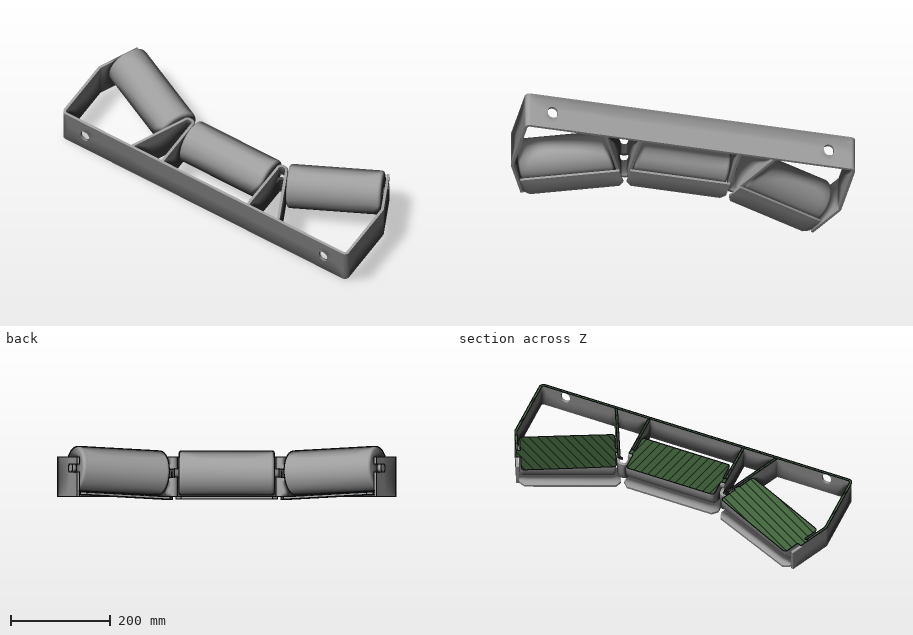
import cadquery as cq
import math

FRAME_LENGTH = 680.0
FRAME_HEIGHT = 80.0
SHEET = 5.6
BEND_RADIUS = 10.0
MOUNT_SLOT_SPACING = 568.5
MOUNT_SLOT_WIDTH = 20.0
MOUNT_SLOT_HEIGHT = 26.5

ROLLER_DIAMETER = 89.0
ROLLER_LENGTH = 192.0
ROLLER_EDGE_RADIUS = 6.0
SHAFT_DIAMETER = 20.0
SHAFT_FLATS = 16.0
SHAFT_ROUND_LENGTH = 197.0
ARM_SPAN = 198.5
SHAFT_LENGTH = ARM_SPAN + 2 * SHEET

GUARD_LENGTH = 205.0
GUARD_FRONT = -3.0
GUARD_BACK = ROLLER_DIAMETER / 2
GUARD_THICKNESS = 5.0
GUARD_DROP = 47.5
GUARD_CHAMFER = 10.0
SIDE_GUARD_INSET = 3.5

TROUGH_ANGLE = 25.0
TILT_ANGLE = 2.9
CENTRE_Y = 100.5
CENTRE_Z = GUARD_DROP
SIDE_X = 219.0
SIDE_Y = 150.0
SIDE_Z = 52.5

ARM_REACH = 30.5
BRACKET_DEPTH = 127.0

STATIONS = [
    ((-SIDE_X, SIDE_Y, SIDE_Z), -TROUGH_ANGLE, TILT_ANGLE),
    ((0, CENTRE_Y, CENTRE_Z), 0, 0),
    ((SIDE_X, SIDE_Y, SIDE_Z), TROUGH_ANGLE, -TILT_ANGLE),
]

COS = math.cos(math.radians(TROUGH_ANGLE))
SIN = math.sin(math.radians(TROUGH_ANGLE))


def place(body, station):
    """Move a body from the roller's local axes to its station."""
    centre, turn, tilt = station
    tilted = body.rotate((0, 0, 0), (0, 1, 0), tilt)
    return tilted.rotate((0, 0, 0), (0, 0, 1), turn).translate(centre)


def side_x(along, y):
    """X at a given y on the plane square to the right roller's axis, `along` outward from its centre."""
    return SIDE_X + (along - (y - SIDE_Y) * SIN) / COS


def side_point(along, across):
    """Point given along and across the right roller's axis in plan."""
    return (SIDE_X + along * COS - across * SIN, SIDE_Y + along * SIN + across * COS)


def side_y(along, x):
    """Y at which the plane square to the right roller's axis reaches x."""
    return SIDE_Y + (along - (x - SIDE_X) * COS) / SIN


def place_guard(guard, station):
    """Put a guard parallel to its roller and below it, set in toward the middle at the sides."""
    (x, y, z), turn, tilt = station
    inset = math.copysign(SIDE_GUARD_INSET, turn) if turn else 0
    guard_x = x - inset * math.cos(math.radians(turn))
    guard_y = y - inset * math.sin(math.radians(turn))
    return place(guard, ((guard_x, guard_y, z - GUARD_DROP), turn, tilt))


def mirrored(points):
    """Plan points reflected to the left side, in reverse order so an outline can continue."""
    return [(-x, y) for x, y in reversed(points)]


def fillet_upright_edges(body, points, radius):
    """Round the vertical edges of a frame-height body that stand on the given plan points."""
    for x, y in points:
        body = body.edges(cq.selectors.NearestToPointSelector((x, y, FRAME_HEIGHT / 2))).fillet(radius)
    return body


def make_roller():
    drum = cq.Workplane("YZ").circle(ROLLER_DIAMETER / 2).extrude(ROLLER_LENGTH)
    drum = drum.translate((-ROLLER_LENGTH / 2, 0, 0))
    drum = drum.edges().fillet(ROLLER_EDGE_RADIUS)
    shaft = cq.Workplane("YZ").circle(SHAFT_DIAMETER / 2).extrude(SHAFT_LENGTH)
    shaft = shaft.translate((-SHAFT_LENGTH / 2, 0, 0))
    middle = cq.Workplane("XY").box(SHAFT_ROUND_LENGTH, SHAFT_DIAMETER, SHAFT_DIAMETER)
    flats = cq.Workplane("XY").box(SHAFT_LENGTH, SHAFT_DIAMETER, SHAFT_FLATS)
    return drum.union(shaft.intersect(middle.union(flats)))


def make_guard():
    guard = cq.Workplane("XY").box(GUARD_LENGTH, GUARD_BACK - GUARD_FRONT, GUARD_THICKNESS)
    guard = guard.faces(">Y").edges("|Z").chamfer(GUARD_CHAMFER)
    return guard.translate((0, (GUARD_FRONT + GUARD_BACK) / 2, -GUARD_THICKNESS / 2))


def make_shaft_slots():
    """Flat-sided slots for both shaft ends, open toward local +Y and closed by the shaft's round."""
    length = SHAFT_LENGTH + 2 * SHEET
    round_end = cq.Workplane("YZ").circle(SHAFT_DIAMETER / 2).extrude(length)
    round_end = round_end.translate((-length / 2, 0, 0))
    run = cq.Workplane("XY").box(length, 2 * ARM_REACH, SHAFT_FLATS).translate((0, ARM_REACH, 0))
    flats = cq.Workplane("XY").box(length, SHAFT_DIAMETER, SHAFT_FLATS)
    return run.union(round_end.intersect(flats))


def make_frame():
    inner = ARM_SPAN / 2
    outer = inner + SHEET
    half = FRAME_LENGTH / 2
    outside = [
        (half, 0),
        (half, side_y(outer, half)),
        side_point(outer, ARM_REACH),
    ]
    inside = [
        side_point(inner, ARM_REACH),
        (half - SHEET, side_y(inner, half - SHEET)),
        (half - SHEET, SHEET),
    ]
    right_side = outside + inside
    frame = cq.Workplane("XY").polyline(right_side + mirrored(right_side)).close().extrude(FRAME_HEIGHT)
    frame = fillet_upright_edges(frame, outside[:2] + mirrored(outside[:2]), BEND_RADIUS)
    frame = fillet_upright_edges(frame, inside[1:] + mirrored(inside[1:]), BEND_RADIUS - SHEET)
    mount_slots = (
        cq.Workplane("XZ")
        .center(0, FRAME_HEIGHT / 2)
        .rarray(MOUNT_SLOT_SPACING, 7, 2, 1)
        .slot2D(MOUNT_SLOT_HEIGHT, MOUNT_SLOT_WIDTH, 90)
        .extrude(-SHEET)
    )
    return frame.cut(mount_slots)


def make_bracket():
    """Right-hand inner bracket: a straight arm, a back bar and a slanted arm."""
    straight_in = ARM_SPAN / 2
    straight_out = straight_in + SHEET
    slant_in = -ARM_SPAN / 2
    slant_out = slant_in - SHEET
    bar_front = BRACKET_DEPTH - SHEET
    outside = [
        (straight_in, SHEET),
        (straight_in, BRACKET_DEPTH),
        (side_x(slant_in, BRACKET_DEPTH), BRACKET_DEPTH),
        (side_x(slant_in, SHEET), SHEET),
    ]
    inside = [
        (side_x(slant_out, SHEET), SHEET),
        (side_x(slant_out, bar_front), bar_front),
        (straight_out, bar_front),
        (straight_out, SHEET),
    ]
    bracket = cq.Workplane("XY").polyline(outside + inside).close().extrude(FRAME_HEIGHT)
    bracket = fillet_upright_edges(bracket, outside[1:3], BEND_RADIUS)
    return fillet_upright_edges(bracket, inside[1:3], BEND_RADIUS - SHEET)


roller = make_roller()
guard = make_guard()
shaft_slots = make_shaft_slots()

rollers = [place(roller, station) for station in STATIONS]
guards = [place_guard(guard, station) for station in STATIONS]

frame = make_frame()
bracket = make_bracket()
brackets = [bracket.mirror("YZ"), bracket]
for station in STATIONS:
    slots = place(shaft_slots, station)
    frame = frame.cut(slots)
    brackets = [b.cut(slots) for b in brackets]

result = cq.Compound.makeCompound([body.val() for body in [frame, *brackets, *rollers, *guards]])